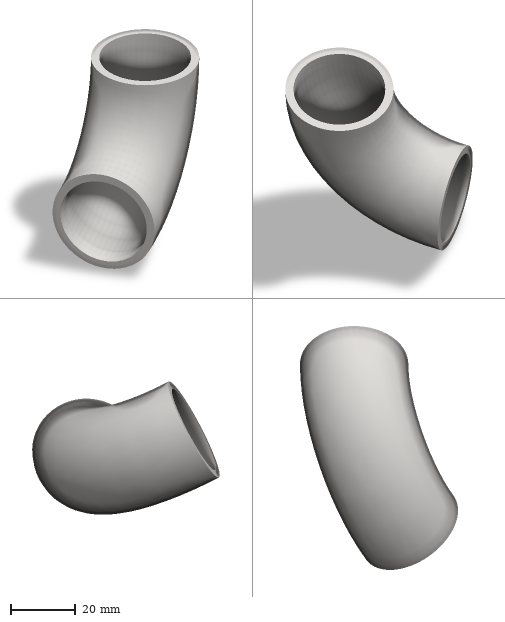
import cadquery as cq

overall_size = 54.85
outer_diameter = 33.7
wall_thickness = 2.6
bend_angle = 90.0

outer_radius = outer_diameter / 2
inner_radius = outer_radius - wall_thickness
bend_radius = overall_size - outer_radius

upper_end = (
    cq.Workplane("XY")
    .center(0, bend_radius)
    .circle(outer_radius)
    .circle(inner_radius)
)

axis_start = (0, -bend_radius)
axis_end = (-1, -bend_radius)
result = upper_end.revolve(bend_angle, axis_start, axis_end)